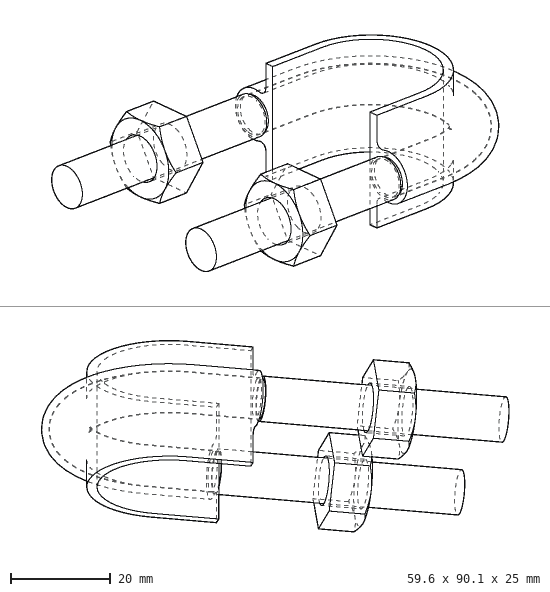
import cadquery as cq
import math

total_length = 90.1
leg_offset = 20.0

cover_radius = 5.7
strip_width = 25.0
strip_inner = 14.5
strip_thickness = 2.1
blend_radius = 1.5
cushion_end_y = 50.9
cushion_bore_diameter = 8.4

bar_diameter = 8.2
stud_diameter = 9.2
stud_length = 50.1

nut_flats = 17.0
nut_height = 8.1
nut_start_y = 19.9
nut_bore_diameter = 10.0
nut_chamfer_angle = 30.0

bend_center_y = total_length - leg_offset - cover_radius
LEG_SIDES = (-1, 1)


def u_path(start_y):
    """Centre line: up the right leg, around the bend and down the left leg."""
    return (
        cq.Workplane("XY")
        .moveTo(leg_offset, start_y)
        .lineTo(leg_offset, bend_center_y)
        .threePointArc((0, bend_center_y + leg_offset), (-leg_offset, bend_center_y))
        .lineTo(-leg_offset, start_y)
    )


def leg_plane(y, side=1):
    """Plane across a leg: local x is +X, local y is +Z and the normal is -Y."""
    return cq.Workplane("XZ", origin=(side * leg_offset, y, 0))


def u_bar(diameter, start_y):
    return leg_plane(start_y).circle(diameter / 2).sweep(u_path(start_y))


def make_cushion():
    inner_x = strip_inner - leg_offset
    outer_x = inner_x + strip_thickness
    half_width = strip_width / 2

    blend_x = outer_x + blend_radius
    center_distance = cover_radius + blend_radius
    blend_z = math.sqrt(center_distance**2 - blend_x**2)
    touch_x = blend_x * cover_radius / center_distance
    touch_z = blend_z * cover_radius / center_distance

    touch_angle = math.atan2(-blend_z, -blend_x)
    middle_angle = (touch_angle - math.pi) / 2
    middle_x = blend_x + blend_radius * math.cos(middle_angle)
    middle_z = blend_z + blend_radius * math.sin(middle_angle)

    section = (
        leg_plane(cushion_end_y)
        .moveTo(inner_x, -half_width)
        .lineTo(inner_x, half_width)
        .lineTo(outer_x, half_width)
        .lineTo(outer_x, blend_z)
        .threePointArc((middle_x, middle_z), (touch_x, touch_z))
        .threePointArc((cover_radius, 0), (touch_x, -touch_z))
        .threePointArc((middle_x, -middle_z), (outer_x, -blend_z))
        .lineTo(outer_x, -half_width)
        .close()
    )
    body = section.sweep(u_path(cushion_end_y))
    return body.cut(u_bar(cushion_bore_diameter, cushion_end_y))


def make_bar():
    """Bent bar that runs through the cushion and meets the two studs."""
    return u_bar(bar_diameter, stud_length)


def make_stud(side):
    return leg_plane(stud_length, side).circle(stud_diameter / 2).extrude(stud_length)


def make_nut(side):
    corner_diameter = nut_flats / math.cos(math.pi / 6)
    corner_radius = corner_diameter / 2
    flat_radius = nut_flats / 2
    chamfer_height = (corner_radius - flat_radius) * math.tan(math.radians(nut_chamfer_angle))
    nut_end_y = nut_start_y + nut_height
    hexagon = leg_plane(nut_end_y, side).polygon(6, corner_diameter).extrude(nut_height)

    envelope = (
        cq.Workplane("XY", origin=(side * leg_offset, 0, 0))
        .moveTo(0, nut_start_y)
        .lineTo(flat_radius, nut_start_y)
        .lineTo(corner_radius, nut_start_y + chamfer_height)
        .lineTo(corner_radius, nut_end_y)
        .lineTo(0, nut_end_y)
        .close()
        .revolve(360, (0, 0, 0), (0, 1, 0))
    )
    bore = leg_plane(nut_end_y, side).circle(nut_bore_diameter / 2).extrude(nut_height)
    return hexagon.intersect(envelope).cut(bore)


cushion = make_cushion()
bar = make_bar()
studs = [make_stud(side) for side in LEG_SIDES]
nuts = [make_nut(side) for side in LEG_SIDES]

bodies = [cushion, bar, *studs, *nuts]
result = cq.Compound.makeCompound([body.solids().val() for body in bodies])